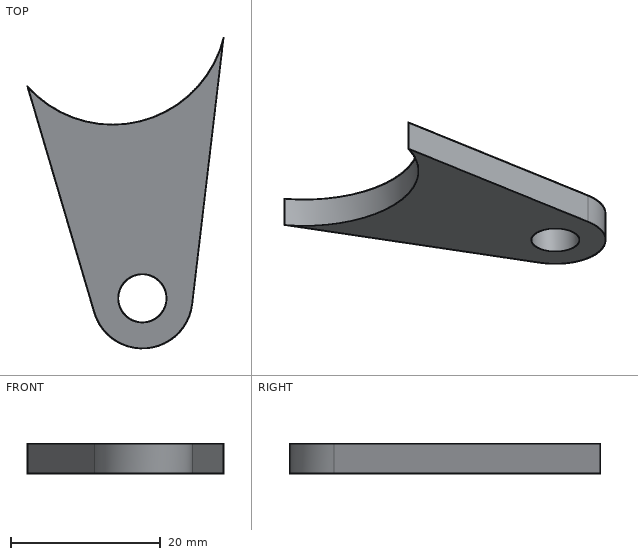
import cadquery as cq
import math

THICKNESS = 4.0
HOLE_DIAMETER = 6.4
BOSS_RADIUS = 6.7

SADDLE_RADIUS = 15.25
SADDLE_CENTER_X = -3.965
SADDLE_CENTER_Y = 38.42

PLATE_WIDTH = 26.17
RIGHT_TIP_X = 10.835
LEFT_TIP_X = RIGHT_TIP_X - PLATE_WIDTH


def saddle_point(x):
    """Point on the lower half of the saddle circle at the given X."""
    drop = math.sqrt(SADDLE_RADIUS**2 - (x - SADDLE_CENTER_X) ** 2)
    return (x, SADDLE_CENTER_Y - drop)


def boss_tangent_point(tip, side):
    """Point where the line from a tip touches the boss; side is +1 for right, -1 for left."""
    tip_distance = math.hypot(*tip)
    tip_angle = math.atan2(tip[1], tip[0])
    touch_angle = tip_angle - side * math.acos(BOSS_RADIUS / tip_distance)
    return (BOSS_RADIUS * math.cos(touch_angle), BOSS_RADIUS * math.sin(touch_angle))


def make_plate():
    """Tapered plate with a rounded boss end and a concave saddle end."""
    left_tip = saddle_point(LEFT_TIP_X)
    right_tip = saddle_point(RIGHT_TIP_X)
    saddle_bottom = saddle_point(SADDLE_CENTER_X)
    boss_bottom = (0, -BOSS_RADIUS)
    return (
        cq.Workplane("XY")
        .moveTo(*left_tip)
        .lineTo(*boss_tangent_point(left_tip, -1))
        .threePointArc(boss_bottom, boss_tangent_point(right_tip, 1))
        .lineTo(*right_tip)
        .threePointArc(saddle_bottom, left_tip)
        .close()
        .extrude(THICKNESS)
    )


def make_pivot_hole():
    """Cylinder that cuts the pivot hole through the boss end."""
    return cq.Workplane("XY").circle(HOLE_DIAMETER / 2).extrude(THICKNESS)


result = make_plate().cut(make_pivot_hole())